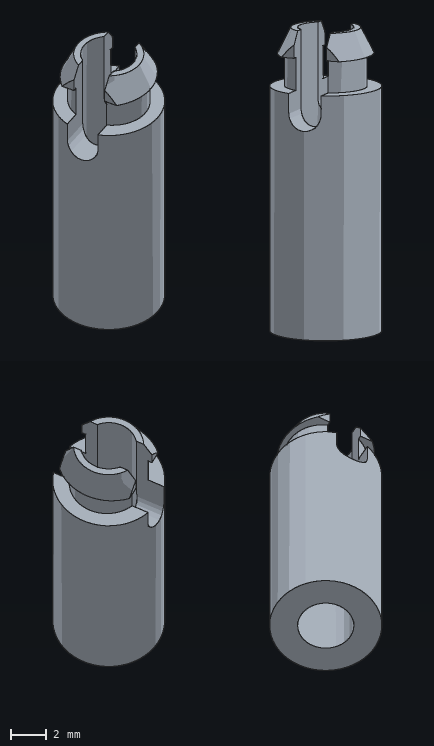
import cadquery as cq

total_height = 17.6
shoulder_height = 14.2
head_height = 1.5
head_base_height = total_height - head_height

body_radius = 3.2
bore_radius = 1.6

slot_width = 2.0
slot_depth = 5.5

neck_radius = 2.16
neck_reach = 2.38
head_base_radius = 3.15
head_base_reach = 2.73
head_top_radius = 2.0
head_flat_width = 4.5


def body():
    """Plain cylinder below the snap legs."""
    return cq.Workplane("XY").circle(body_radius).extrude(shoulder_height)


def left_half(width):
    """Block covering the -X half of the part, with the given width along Y."""
    return (
        cq.Workplane("XY", origin=(-body_radius, 0, 0))
        .box(body_radius, width, total_height, centered=(False, True, False))
    )


def neck():
    """Left-hand neck, narrower than the body so that the head overhangs it."""
    cylinder = (
        cq.Workplane("XY", origin=(0, 0, shoulder_height))
        .center(neck_radius - neck_reach, 0)
        .circle(neck_radius)
        .extrude(head_base_height - shoulder_height)
    )
    return cylinder.intersect(left_half(2 * body_radius))


def head():
    """Left-hand barbed head: an oblique cone trimmed by two flats."""
    base_centre = head_base_radius - head_base_reach
    cone = (
        cq.Workplane("XY", origin=(0, 0, head_base_height))
        .center(base_centre, 0)
        .circle(head_base_radius)
        .workplane(offset=head_height)
        .center(-base_centre, 0)
        .circle(head_top_radius)
        .loft(ruled=True)
    )
    return cone.intersect(left_half(head_flat_width))


def slot():
    """Round-bottomed slot along Y, open at the top."""
    slot_radius = slot_width / 2
    round_centre_height = total_height - slot_depth + slot_radius
    return (
        cq.Workplane("XZ")
        .moveTo(-slot_radius, total_height)
        .lineTo(-slot_radius, round_centre_height)
        .threePointArc((0, total_height - slot_depth), (slot_radius, round_centre_height))
        .lineTo(slot_radius, total_height)
        .close()
        .extrude(body_radius, both=True)
    )


def bore():
    """Hole through the full height."""
    return cq.Workplane("XY").circle(bore_radius).extrude(total_height)


left_leg = neck().union(head())
right_leg = left_leg.mirror("YZ")

result = body().union(left_leg).union(right_leg).cut(slot()).cut(bore())